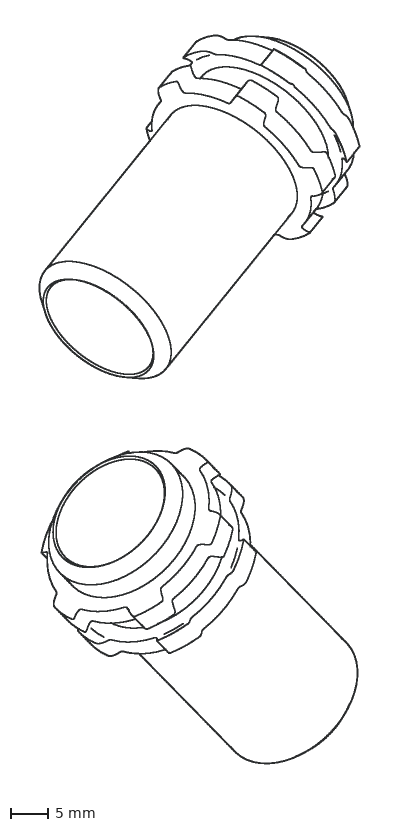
import cadquery as cq
import math

TUBE_LENGTH = 49.3
TUBE_DIAMETER = 20.95
BORE_DIAMETER = 16.95
BORE_BEVEL = 0.3

RING_END_OFFSET = 5.0
RING_PAIR_SPAN = 10.85
REAR_RING_FACE = TUBE_LENGTH - RING_END_OFFSET
FRONT_RING_FACE = REAR_RING_FACE - RING_PAIR_SPAN
RING_SEAT_DIAMETER = 19.7
COLLAR_RADIUS = 12.65
COLLAR_WIDTH = 3.0
TOOTH_TIP_RADIUS = 14.2
TOOTH_OVERHANG = 1
TOOTH_WIDTH = COLLAR_WIDTH + TOOTH_OVERHANG
OUTER_ROUND_DEPTH = 0.75
TOOTH_FACE_BULGE = 0.15

TOOTH_COUNT = 6
FIRST_TOOTH_ANGLE = 78.8
TOOTH_BASE_HALF_ANGLE = 12.4
TOOTH_TIP_HALF_ANGLE = 9.9
TIP_FILLET = 0.5
BASE_FILLET = 0.45


def make_tube():
    """Tube whose bevels meet in a sharp rim at both ends, with a groove for each ring."""
    outer_radius = TUBE_DIAMETER / 2
    bore_radius = BORE_DIAMETER / 2
    rim_radius = bore_radius + BORE_BEVEL
    outer_bevel = outer_radius - rim_radius
    tube = (
        cq.Workplane("XY")
        .polyline([
            (bore_radius, BORE_BEVEL),
            (rim_radius, 0),
            (outer_radius, outer_bevel),
            (outer_radius, TUBE_LENGTH - outer_bevel),
            (rim_radius, TUBE_LENGTH),
            (bore_radius, TUBE_LENGTH - BORE_BEVEL),
        ])
        .close()
        .revolve(360, (0, 0, 0), (0, 1, 0))
    )
    groove = (
        cq.Workplane("XZ")
        .circle(COLLAR_RADIUS)
        .circle(RING_SEAT_DIAMETER / 2)
        .extrude(COLLAR_WIDTH)
    )
    for groove_end in [REAR_RING_FACE, FRONT_RING_FACE + COLLAR_WIDTH]:
        tube = tube.cut(groove.translate((0, groove_end, 0)))
    return tube


def polar_point(radius, angle):
    """Point at a radius and an angle in degrees."""
    return radius * math.cos(math.radians(angle)), radius * math.sin(math.radians(angle))


def make_toothed_prism():
    """Collar disc with straight full-width teeth, filleted at the tips and at the collar."""
    base_x, base_z = polar_point(COLLAR_RADIUS, TOOTH_BASE_HALF_ANGLE)
    tip_x, tip_z = polar_point(TOOTH_TIP_RADIUS, TOOTH_TIP_HALF_ANGLE)
    tooth = (
        cq.Workplane("XZ")
        .polyline([(0, 0), (base_x, -base_z), (tip_x, -tip_z)])
        .threePointArc((TOOTH_TIP_RADIUS, 0), (tip_x, tip_z))
        .lineTo(base_x, base_z)
        .close()
        .extrude(TOOTH_WIDTH)
        .edges("|Y")
        .edges(">X")
        .fillet(TIP_FILLET)
    )
    prism = cq.Workplane("XZ").circle(COLLAR_RADIUS).extrude(TOOTH_WIDTH)
    for index in range(TOOTH_COUNT):
        angle = FIRST_TOOTH_ANGLE + index * 360 / TOOTH_COUNT
        prism = prism.union(tooth.rotate((0, 0, 0), (0, -1, 0), angle))

    tooth_roots = prism.edges("|Y").filter(
        lambda edge: math.isclose(math.hypot(edge.Center().x, edge.Center().z), COLLAR_RADIUS, abs_tol=0.005)
    )
    return tooth_roots.fillet(BASE_FILLET)


def curved_face_middle(start_y, depth):
    """Middle of a tooth face that runs from the collar at start_y to the tip, depth further to -Y."""
    height = TOOTH_TIP_RADIUS - COLLAR_RADIUS
    chord = math.hypot(height, depth)
    return (
        COLLAR_RADIUS + height / 2 + TOOTH_FACE_BULGE * depth / chord,
        start_y - depth / 2 + TOOTH_FACE_BULGE * height / chord,
    )


def make_flange():
    """Turned shape that bounds the ring: both faces curve towards -Y outside the collar."""
    seat_radius = RING_SEAT_DIAMETER / 2
    outer_middle = curved_face_middle(0, OUTER_ROUND_DEPTH)
    overhang_middle = curved_face_middle(-COLLAR_WIDTH, TOOTH_OVERHANG)
    return (
        cq.Workplane("XY")
        .moveTo(seat_radius, 0)
        .lineTo(COLLAR_RADIUS, 0)
        .threePointArc(outer_middle, (TOOTH_TIP_RADIUS, -OUTER_ROUND_DEPTH))
        .lineTo(TOOTH_TIP_RADIUS, -TOOTH_WIDTH)
        .threePointArc(overhang_middle, (COLLAR_RADIUS, -COLLAR_WIDTH))
        .lineTo(seat_radius, -COLLAR_WIDTH)
        .close()
        .revolve(360, (0, 0, 0), (0, 1, 0))
    )


def make_ring():
    """Ring with its outer face at Y = 0 and its teeth overhanging towards -Y."""
    return make_toothed_prism().intersect(make_flange())


tube = make_tube()

ring = make_ring()
rear_ring = ring.translate((0, REAR_RING_FACE, 0))
front_ring = ring.mirror("XZ").translate((0, FRONT_RING_FACE, 0))

result = cq.Compound.makeCompound([tube.val(), rear_ring.val(), front_ring.val()])